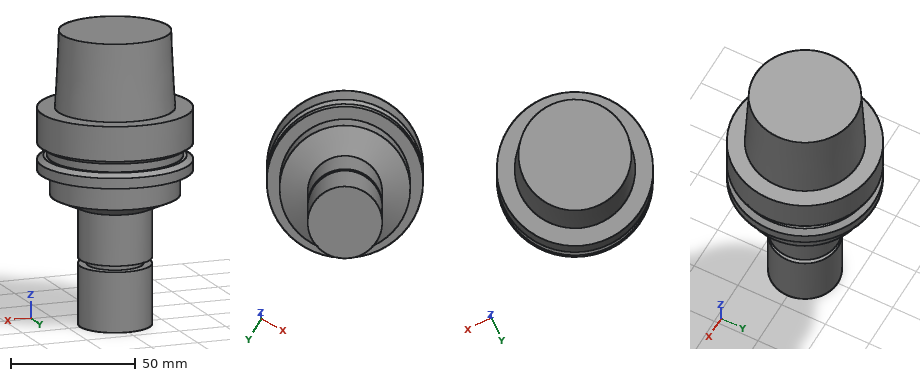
import cadquery as cq


taper_length = 32.0
taper_base_diameter = 48.6
taper_ratio = 0.1
taper_tip_diameter = taper_base_diameter - taper_ratio * taper_length

flange_diameter = 63.0
flange_height = 25.8
groove_diameter = 55.0
groove_centre_depth = 18.0
groove_mouth_width = 7.0
groove_floor_width = 3.75
groove_bevel = 2.6

collar_diameter = 52.6
collar_end_depth = 36.0
cone_end_depth = 41.0

nose_diameter = 30.0
nose_end_depth = 62.2
neck_diameter = 23.0
neck_length = 2.6
overall_depth = 90.0


def make_holder():
    """Taper, grooved flange, collar, cone and nose, revolved as one solid."""
    flange_radius = flange_diameter / 2
    bevel_radius = flange_radius - groove_bevel
    groove_radius = groove_diameter / 2
    collar_radius = collar_diameter / 2
    nose_radius = nose_diameter / 2
    mouth_top = -groove_centre_depth + groove_mouth_width / 2
    mouth_bottom = -groove_centre_depth - groove_mouth_width / 2
    floor_top = -groove_centre_depth + groove_floor_width / 2
    floor_bottom = -groove_centre_depth - groove_floor_width / 2
    profile = [
        (0, taper_length),
        (taper_tip_diameter / 2, taper_length),
        (taper_base_diameter / 2, 0),
        (flange_radius, 0),
        (flange_radius, mouth_top),
        (bevel_radius, floor_top),
        (groove_radius, floor_top),
        (groove_radius, floor_bottom),
        (bevel_radius, floor_bottom),
        (flange_radius, mouth_bottom),
        (flange_radius, -flange_height),
        (collar_radius, -flange_height),
        (collar_radius, -collar_end_depth),
        (nose_radius, -cone_end_depth),
        (nose_radius, -nose_end_depth),
        (0, -nose_end_depth),
    ]
    return cq.Workplane("XZ").polyline(profile).close().revolve(360, (0, 0), (0, 1))


def make_socket():
    """Cylinder with a thinner neck whose top butts against the holder nose."""
    socket_length = overall_depth - nose_end_depth - neck_length
    base = cq.Workplane("XY").workplane(offset=-overall_depth)
    body = base.circle(nose_diameter / 2).extrude(socket_length)
    return body.faces(">Z").workplane().circle(neck_diameter / 2).extrude(neck_length)


holder = make_holder()
socket = make_socket()

result = cq.Compound.makeCompound([holder.val(), socket.val()])